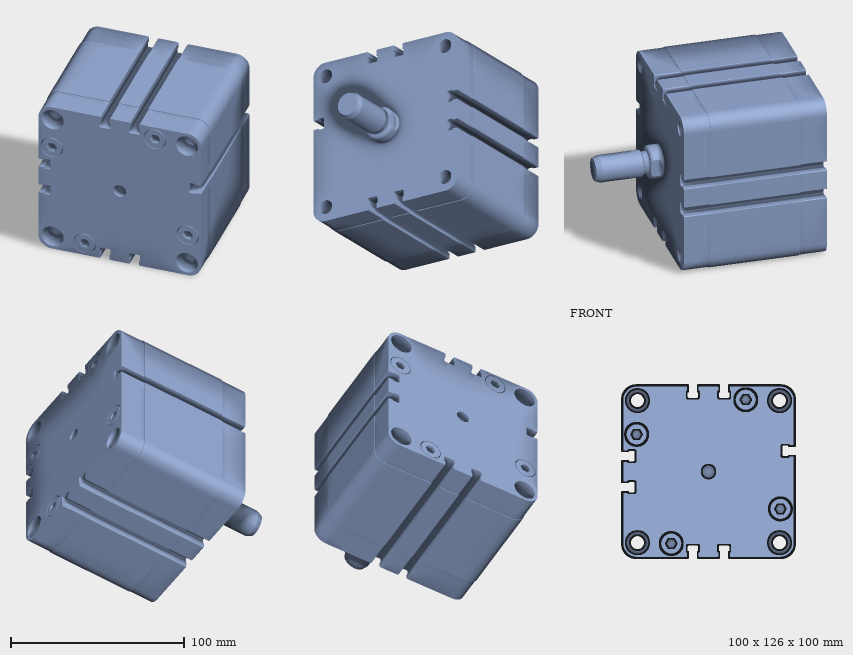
import cadquery as cq
import math


body_width = 100.0
cap_inset = 0.4
cap_width = body_width - 2 * cap_inset
cap_length = 16.0
barrel_length = 54.0
housing_length = barrel_length + 2 * cap_length
corner_center = 41.6
barrel_corner_radius = body_width / 2 - corner_center
cap_corner_radius = cap_width / 2 - corner_center

cap_slot_depth = 7.8
barrel_slot_depth = 8.0
slot_neck_depth = 3.8
slot_neck_width = 5.5
cap_mouth_bevel = 0.4
barrel_mouth_bevel = 0.2
slot_head_width = 6.9
slot_head_radius = 0.8
slot_offset = 9.0
single_slot_offset = 12.0

mount_offset = 41.0
mount_hole_diameter = 8.5
mount_counterbore_diameter = 13.5
mount_counterbore_depth = 8.5

screw_near = 21.5
screw_far = 41.5
screw_recess_diameter = 13.5
screw_head_diameter = 12.5
screw_recess_depth = 8.0
hex_across_flats = 5.5
hex_depth = 3.5

center_hole_diameter = 8.0
center_hole_depth = 4.0

rod_reach = 40.0
collar_diameter = 20.0
collar_length = 7.9
collar_edge_radius = 2.0
flat_width = 17.0
flat_length = 5.6
thread_diameter = 16.0
thread_length = 29.0
thread_root_diameter = 13.5
tip_chamfer_length = 3.2
thread_end_chamfer_length = 1.0


def block(width, length, corner_radius, start_y):
    """Square prism along +Y with rounded edges parallel to Y."""
    plane = cq.Workplane("XZ", origin=(0, start_y, 0))
    return plane.rect(width, width).extrude(-length).edges("|Y").fillet(corner_radius)


def cylinder(diameter, length, x=0.0, z=0.0):
    """Round rod or hole shape running along +Y from the head-side end face."""
    return cq.Workplane("XZ").center(x, z).circle(diameter / 2).extrude(-length)


def make_housing():
    head_cap = block(cap_width, cap_length, cap_corner_radius, 0)
    barrel = block(body_width, barrel_length, barrel_corner_radius, cap_length)
    rod_cap = block(cap_width, cap_length, cap_corner_radius, cap_length + barrel_length)
    return head_cap.union(barrel).union(rod_cap)


def make_slot(offset, angle, start_y, length, width, depth, bevel):
    """T-slot in the +Z side of one housing section, turned about Y to the wanted side."""
    side = width / 2
    floor = body_width / 2 - depth
    ledge = body_width / 2 - slot_neck_depth
    neck_half = slot_neck_width / 2
    mouth_half = neck_half + bevel
    plane = cq.Workplane("XZ", origin=(offset, start_y, 0))
    neck = (
        plane.moveTo(-neck_half, floor)
        .lineTo(-neck_half, side - bevel)
        .lineTo(-mouth_half, side)
        .lineTo(mouth_half, side)
        .lineTo(neck_half, side - bevel)
        .lineTo(neck_half, floor)
        .close()
        .extrude(-length)
    )
    head = (
        plane.center(0, (floor + ledge) / 2)
        .rect(slot_head_width, ledge - floor)
        .extrude(-length)
        .edges("|Y and <Z")
        .fillet(slot_head_radius)
    )
    return neck.union(head).rotate((0, 0, 0), (0, 1, 0), angle)


def cut_slots(housing):
    """Pairs of slots in three sides and a single slot in the +X side, through all sections."""
    places = [(-single_slot_offset, 90)]
    for angle in (0, 180, 270):
        for offset in (-slot_offset, slot_offset):
            places.append((offset, angle))
    sections = (
        (0, cap_length, cap_width, cap_slot_depth, cap_mouth_bevel),
        (cap_length, barrel_length, body_width, barrel_slot_depth, barrel_mouth_bevel),
        (cap_length + barrel_length, cap_length, cap_width, cap_slot_depth, cap_mouth_bevel),
    )
    for offset, angle in places:
        for section in sections:
            housing = housing.cut(make_slot(offset, angle, *section))
    return housing


def cut_mounting_holes(housing):
    for x in (-mount_offset, mount_offset):
        for z in (-mount_offset, mount_offset):
            housing = housing.cut(cylinder(mount_hole_diameter, housing_length, x, z))
            housing = housing.cut(cylinder(mount_counterbore_diameter, mount_counterbore_depth, x, z))
    return housing


def add_screws(housing):
    """Flush socket screw heads, each with a narrow ring gap around it."""
    hex_diameter = hex_across_flats / math.cos(math.pi / 6)
    centers = (
        (screw_near, screw_far),
        (screw_far, -screw_near),
        (-screw_near, -screw_far),
        (-screw_far, screw_near),
    )
    for x, z in centers:
        recess = cylinder(screw_recess_diameter, screw_recess_depth, x, z)
        head = cylinder(screw_head_diameter, screw_recess_depth, x, z)
        socket = cq.Workplane("XZ").center(x, z).polygon(6, hex_diameter).extrude(-hex_depth)
        housing = housing.cut(recess.cut(head)).cut(socket)
    return housing


def make_rod():
    """Turned rod end: collar with a rounded edge, undercut and chamfered thread."""
    collar_radius = collar_diameter / 2
    thread_radius = thread_diameter / 2
    root_radius = thread_root_diameter / 2
    collar_end = housing_length + collar_length
    tip = housing_length + rod_reach
    thread_start = tip - thread_length
    profile = (
        cq.Workplane("XY")
        .moveTo(0, housing_length)
        .lineTo(collar_radius, housing_length)
        .lineTo(collar_radius, collar_end - collar_edge_radius)
        .radiusArc((collar_radius - collar_edge_radius, collar_end), -collar_edge_radius)
        .lineTo(root_radius, collar_end)
        .lineTo(root_radius, thread_start)
        .lineTo(thread_radius, thread_start + thread_end_chamfer_length)
        .lineTo(thread_radius, tip - tip_chamfer_length)
        .lineTo(root_radius, tip)
        .lineTo(0, tip)
        .close()
    )
    rod = profile.revolve(360, (0, 0, 0), (0, 1, 0))
    return cut_flats(rod, collar_end)


def cut_flats(rod, collar_end):
    """Two wrench flats on the +X and -X sides, running out at 45 degrees."""
    flat_x = flat_width / 2
    outer_x = collar_diameter / 2
    flat_start = collar_end - flat_length
    flat = (
        cq.Workplane("XY")
        .moveTo(flat_x, collar_end)
        .lineTo(flat_x, flat_start)
        .lineTo(outer_x, flat_start - (outer_x - flat_x))
        .lineTo(outer_x, collar_end)
        .close()
        .extrude(outer_x, both=True)
    )
    return rod.cut(flat).cut(flat.mirror("YZ"))


housing = make_housing()
housing = cut_slots(housing)
housing = cut_mounting_holes(housing)
housing = add_screws(housing)
housing = housing.cut(cylinder(center_hole_diameter, center_hole_depth))
result = housing.union(make_rod())